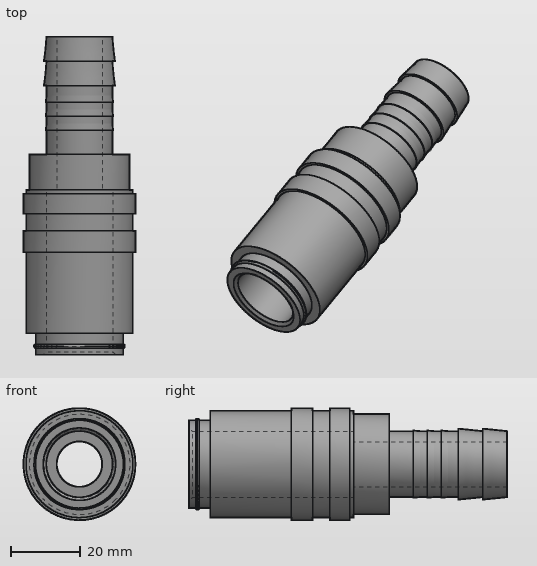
import cadquery as cq

total_length = 92.0

nose_radius = 12.7
ring_outer_radius = 13.2
body_radius = 15.5
band_radius = 32.5 / 2
collar_radius = 14.5
tail_radius = 9.6
barb_radius = 10.3
ridge_radius = 9.75

body_start = 6.2
front_band_start = 29.6
front_band_length = 6.2
rear_band_start = 40.8
rear_band_length = 5.8
body_end = 47.7
collar_end = 58.0

ring_center = 2.5
ring_section_radius = 0.55
ring_center_radius = ring_outer_radius - ring_section_radius

barb_length = 7.1
barb_count = 2
ridge_start = 64.9
ridge_length = 1.9
ridge_pitch = 4.05
ridge_count = 3

bore_radius = 6.5
socket_radius = 9.6
socket_mouth_radius = 10.5
socket_depth = body_end
mouth_chamfer_length = socket_mouth_radius - socket_radius

nose_face = -total_length / 2


def cylinder(radius, start, end):
    """Cylinder along +Y between two distances from the nose face."""
    plane = cq.Workplane("XZ", origin=(0, nose_face + start, 0))
    return plane.circle(radius).extrude(start - end)


def cone(start_radius, end_radius, start, length):
    """Truncated cone along +Y, starting at a distance from the nose face."""
    axis = cq.Vector(0, 1, 0)
    base_center = cq.Vector(0, nose_face + start, 0)
    return cq.Workplane(cq.Solid.makeCone(start_radius, end_radius, length, base_center, axis))


def make_body():
    body = cylinder(nose_radius, 0, body_start)
    body = body.union(cylinder(body_radius, body_start, body_end))
    for start, length in (
        (front_band_start, front_band_length),
        (rear_band_start, rear_band_length),
    ):
        body = body.union(cylinder(band_radius, start, start + length))
    return body.union(cylinder(collar_radius, body_end, collar_end))


def make_nose_ring():
    """Round-section ring partly sunk into the nose surface."""
    center = cq.Vector(0, nose_face + ring_center, 0)
    ring = cq.Solid.makeTorus(ring_center_radius, ring_section_radius, center, cq.Vector(0, 1, 0))
    return cq.Workplane(ring)


def make_hose_tail():
    """Plain tail with large barbs at the end and fine ridges between them and the collar."""
    tail = cylinder(tail_radius, collar_end, total_length)
    for index in range(barb_count):
        start = total_length - (index + 1) * barb_length
        tail = tail.union(cone(barb_radius, tail_radius, start, barb_length))
    for index in range(ridge_count):
        start = ridge_start + index * ridge_pitch
        tail = tail.union(cone(ridge_radius, tail_radius, start, ridge_length))
    return tail


def make_bore():
    """Through bore with a wider socket and a chamfered mouth at the nose."""
    bore = cylinder(bore_radius, 0, total_length)
    bore = bore.union(cylinder(socket_radius, 0, socket_depth))
    return bore.union(cone(socket_mouth_radius, socket_radius, 0, mouth_chamfer_length))


result = make_body().union(make_nose_ring()).union(make_hose_tail()).cut(make_bore())